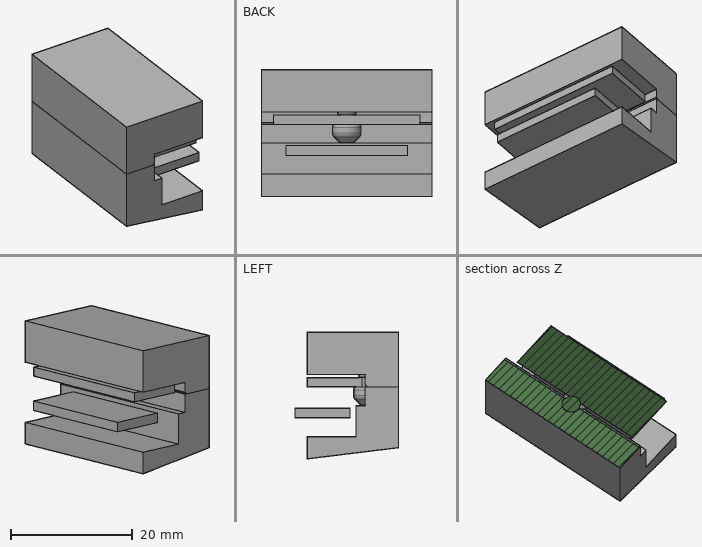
import cadquery as cq
import math


LENGTH = 28.0
DEPTH = 15.0
UPPER_HEIGHT = 9.0
LOWER_FRONT_HEIGHT = 10.0
UNDERSIDE_SLOPE = 7.0
WALL_BACK = 5.5
CEILING_Z = 2.0
EDGE_CHAMFER = 0.35
LEDGE_BACK = 7.0
LEDGE_Z = -3.08
FLOOR_Z = -8.18

UPPER_BOARD_LENGTH = 24.02
UPPER_BOARD_THICKNESS = 1.5
BOARD_DEPTH = 9.05

LOWER_BOARD_LENGTH = 20.0
LOWER_BOARD_THICKNESS = 1.6
LOWER_BOARD_TOP_Z = -3.5
LOWER_BOARD_OVERHANG = 2.0

BUTTON_Y = 4.98
STEM_DIAMETER = 3.0
CAP_DIAMETER = 3.2
CAP_ROUND = 0.2
BODY_DIAMETER = 4.8
BODY_TOP_ROUND = 0.5
BODY_BOTTOM_ROUND = 1.0
BODY_STRAIGHT_END_Z = -1.4
BUTTON_BOTTOM_Z = -3.0
CONE_ANGLE = 45.0


def extrude_along_length(profile_points):
    """Extrude a (Y, Z) outline along X over the full housing length."""
    profile = cq.Workplane("YZ").polyline(profile_points).close()
    return profile.extrude(LENGTH / 2, both=True)


def make_board(length, thickness, back_y, bottom_z):
    """Flat rectangular board, centred in X."""
    board = cq.Workplane("XY").box(length, BOARD_DEPTH, thickness, centered=(True, False, False))
    return board.translate((0, back_y - BOARD_DEPTH, bottom_z))


def make_button():
    """Rounded cap on a stem, above a rounded body that ends in a truncated cone."""
    stem_radius = STEM_DIAMETER / 2
    cap_radius = CAP_DIAMETER / 2
    body_radius = BODY_DIAMETER / 2
    cap_bottom = UPPER_BOARD_THICKNESS
    cap_top = CEILING_Z

    round_centre_radius = body_radius - BODY_BOTTOM_ROUND

    def lower_round_point(degrees):
        angle = math.radians(degrees)
        return (
            round_centre_radius + BODY_BOTTOM_ROUND * math.cos(angle),
            BODY_STRAIGHT_END_Z - BODY_BOTTOM_ROUND * math.sin(angle),
        )

    cone_start = lower_round_point(CONE_ANGLE)
    cone_height = cone_start[1] - BUTTON_BOTTOM_Z
    cone_end_radius = cone_start[0] - cone_height * math.tan(math.radians(CONE_ANGLE))

    profile = (
        cq.Workplane("XZ")
        .moveTo(0, cap_top)
        .lineTo(cap_radius - CAP_ROUND, cap_top)
        .tangentArcPoint((cap_radius, cap_top - CAP_ROUND), relative=False)
        .lineTo(cap_radius, cap_bottom + CAP_ROUND)
        .tangentArcPoint((cap_radius - CAP_ROUND, cap_bottom), relative=False)
        .lineTo(stem_radius, cap_bottom)
        .lineTo(stem_radius, 0)
        .lineTo(body_radius - BODY_TOP_ROUND, 0)
        .tangentArcPoint((body_radius, -BODY_TOP_ROUND), relative=False)
        .lineTo(body_radius, BODY_STRAIGHT_END_Z)
        .threePointArc(lower_round_point(CONE_ANGLE / 2), cone_start)
        .lineTo(cone_end_radius, BUTTON_BOTTOM_Z)
        .lineTo(0, BUTTON_BOTTOM_Z)
        .close()
    )
    return profile.revolve(360, (0, 0), (0, 1)).translate((0, BUTTON_Y, 0))


def make_upper_housing(button):
    """Top block with a front wall, recessed to fit the button."""
    block = extrude_along_length([
        (0, 0),
        (WALL_BACK - EDGE_CHAMFER, 0),
        (WALL_BACK, EDGE_CHAMFER),
        (WALL_BACK, CEILING_Z),
        (DEPTH, CEILING_Z),
        (DEPTH, UPPER_HEIGHT),
        (0, UPPER_HEIGHT),
    ])
    return block.cut(button)


def make_lower_housing(button):
    """Stepped front wall and sloped base, recessed to fit the button."""
    back_bottom_z = -LOWER_FRONT_HEIGHT - DEPTH * math.tan(math.radians(UNDERSIDE_SLOPE))
    block = extrude_along_length([
        (0, 0),
        (WALL_BACK, 0),
        (WALL_BACK, LEDGE_Z),
        (LEDGE_BACK, LEDGE_Z),
        (LEDGE_BACK, FLOOR_Z),
        (DEPTH, FLOOR_Z),
        (DEPTH, back_bottom_z),
        (0, -LOWER_FRONT_HEIGHT),
    ])
    return block.cut(button)


button = make_button()
upper_housing = make_upper_housing(button)
lower_housing = make_lower_housing(button)

upper_board = make_board(UPPER_BOARD_LENGTH, UPPER_BOARD_THICKNESS, DEPTH, 0).cut(button)

lower_board = make_board(
    LOWER_BOARD_LENGTH,
    LOWER_BOARD_THICKNESS,
    DEPTH + LOWER_BOARD_OVERHANG,
    LOWER_BOARD_TOP_Z - LOWER_BOARD_THICKNESS,
)

result = cq.Compound.makeCompound([
    upper_housing.solids().val(),
    lower_housing.solids().val(),
    upper_board.solids().val(),
    lower_board.solids().val(),
    button.solids().val(),
])